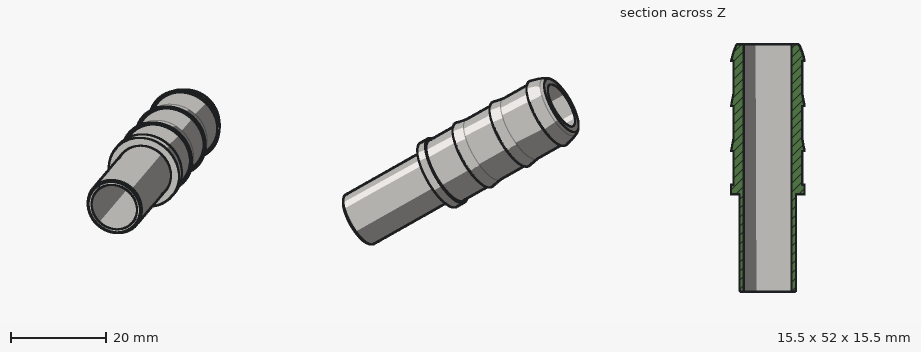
import cadquery as cq

total_length = 52.0
bore_radius = 5.0
spigot_radius = 6.0
spigot_length = 20.5
spigot_chamfer = 0.3
collar_width = 2.05
core_radius = 7.3
crest_radius = 7.75

barb_count = 2
barb_pitch = 9.45
barb_length = 2.5

tip_length = 3.55
tip_face_radius = 6.35
tip_round_length = 0.7
tip_shoulder_radius = 6.85
tip_round_bulge = 0.1
tip_flank_bulge = 0.1

spigot_end = -total_length / 2
tip_end = total_length / 2
collar_start = spigot_end + spigot_length
collar_end = collar_start + collar_width
tip_back = tip_end - tip_length
tip_shoulder = tip_end - tip_round_length


def bowed_line(profile, start, end, bulge):
    """Continue the profile from start to end, bowed outward at mid-length."""
    middle = ((start[0] + end[0]) / 2 + bulge, (start[1] + end[1]) / 2)
    return profile.threePointArc(middle, end)


profile = (
    cq.Workplane("XY")
    .moveTo(bore_radius, spigot_end)
    .lineTo(spigot_radius - spigot_chamfer, spigot_end)
    .lineTo(spigot_radius, spigot_end + spigot_chamfer)
    .lineTo(spigot_radius, collar_start)
    .lineTo(crest_radius, collar_start)
    .lineTo(crest_radius, collar_end)
    .lineTo(core_radius, collar_end)
)

for steps_from_tip in range(barb_count, 0, -1):
    barb_back = tip_back - steps_from_tip * barb_pitch
    profile = (
        profile.lineTo(core_radius, barb_back)
        .lineTo(crest_radius, barb_back)
        .lineTo(core_radius, barb_back + barb_length)
    )

flank_start = (crest_radius, tip_back)
flank_end = (tip_shoulder_radius, tip_shoulder)
face_edge = (tip_face_radius, tip_end)
profile = profile.lineTo(core_radius, tip_back).lineTo(*flank_start)
profile = bowed_line(profile, flank_start, flank_end, tip_flank_bulge)
profile = bowed_line(profile, flank_end, face_edge, tip_round_bulge)
profile = profile.lineTo(bore_radius, tip_end).close()

result = profile.revolve(360, (0, 0, 0), (0, 1, 0))